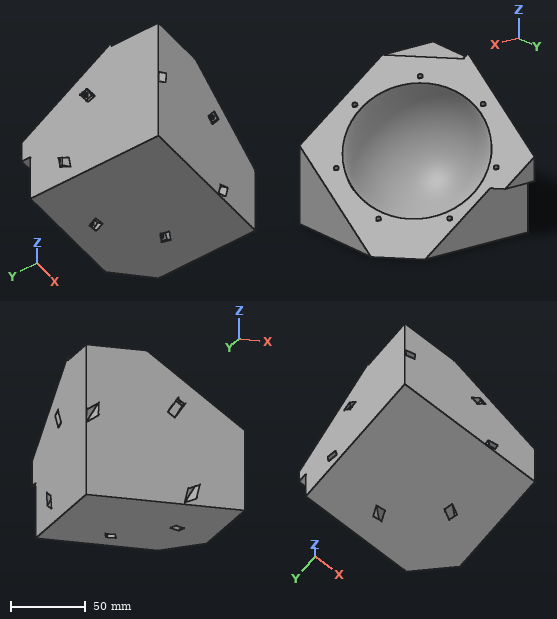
import cadquery as cq
import math

size = 112.0
body_size = 104.8
ledge_start = 38.5
ledge_top = 108.0
bowl_radius = 50.0
screw_circle_radius = 55.0
screw_count = 7
screw_diameter = 3.2
channel_width = 6.0
channel_depth = 6.0
cut_length = 2 * size

center = size / 2
slope_normal = (1, 1, math.sqrt(2))
slope_face = cq.Plane(
    origin=(center, center, center), xDir=(1, -1, 0), normal=slope_normal
)
first_screw_angle = -math.degrees(math.atan(1 / math.sqrt(2)))


def make_block():
    body = cq.Workplane("XY").box(size, body_size, body_size, centered=False)
    ledge = (
        cq.Workplane("XY")
        .box(size, size - ledge_start, ledge_top - ledge_start, centered=False)
        .translate((0, ledge_start, ledge_start))
    )
    above_slope = cq.Workplane(slope_face).rect(cut_length, cut_length).extrude(size)
    return body.union(ledge).cut(above_slope)


def make_bowl():
    return cq.Workplane("XY").sphere(bowl_radius).translate((center, center, center))


def make_screw_passage(angle):
    """Round hole opening into a square channel, aligned with the bowl radius."""
    local = cq.Workplane(slope_face).transformed(rotate=(0, 0, angle))
    hole = (
        local.center(screw_circle_radius, 0)
        .circle(screw_diameter / 2)
        .extrude(-2 * channel_depth)
    )
    channel = (
        local.workplane(offset=-channel_depth)
        .center(screw_circle_radius, 0)
        .rect(channel_width, channel_width)
        .extrude(-cut_length)
    )
    return hole.union(channel)


result = make_block().cut(make_bowl())
for index in range(screw_count):
    screw_angle = first_screw_angle + index * 360 / screw_count
    result = result.cut(make_screw_passage(screw_angle))